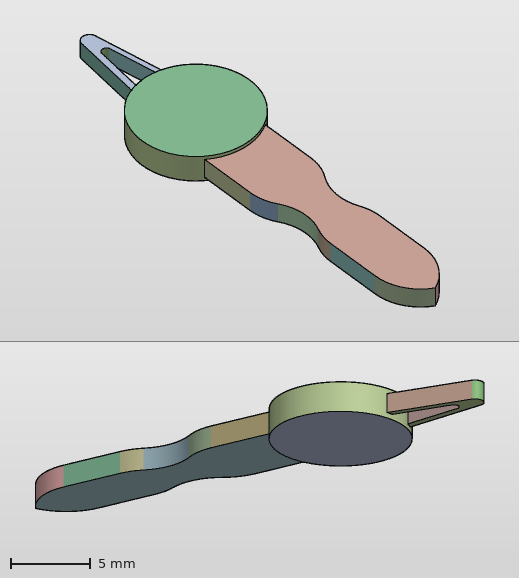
import cadquery as cq
import math

disc_diameter = 9.0
disc_radius = disc_diameter / 2
disc_thickness = 2.0

handle_thickness = 1.5
root_half_width = 2.55
waist_half_width = 1.4
grip_half_width = 2.05
root_end_x = 8.0
bend_radius = 3.75
grip_taper_x = 19.27
handle_end_x = 22.65

pointer_thickness = 1.3
nose_x = -10.4
nose_y = -0.2
nose_length = 0.4
nose_half_width = 0.55
upper_slope = 0.17
lower_slope = 0.122
window_nose_x = -8.65
window_nose_y = -0.115
window_nose_length = 0.23
window_nose_half_width = 0.33


def make_plate(outline, thickness):
    """Extrude an XY outline into a plate centred about Z = 0."""
    return outline.extrude(thickness).translate((0, 0, -thickness / 2))


def make_disc():
    return make_plate(cq.Workplane("XY").circle(disc_radius), disc_thickness)


def bend_run(drop):
    """Length along X of two equal, opposite, tangent arcs that shift the edge by drop."""
    return math.sqrt(drop * (4 * bend_radius - drop))


def make_handle(disc):
    """Symmetric handle whose root fits against the side of the disc."""
    root_drop = root_half_width - waist_half_width
    grip_rise = grip_half_width - waist_half_width
    waist_x = root_end_x + bend_run(root_drop)
    grip_start_x = waist_x + bend_run(grip_rise)
    root_bend_x = (root_end_x + waist_x) / 2
    root_bend_y = (root_half_width + waist_half_width) / 2
    grip_bend_x = (waist_x + grip_start_x) / 2
    grip_bend_y = (waist_half_width + grip_half_width) / 2

    upper_half = (
        cq.Workplane("XY")
        .lineTo(0, root_half_width)
        .lineTo(root_end_x, root_half_width)
        .tangentArcPoint((root_bend_x, root_bend_y), relative=False)
        .tangentArcPoint((grip_bend_x, grip_bend_y), relative=False)
        .tangentArcPoint((grip_start_x, grip_half_width), relative=False)
        .lineTo(grip_taper_x, grip_half_width)
        .tangentArcPoint((handle_end_x, 0), relative=False)
        .close()
    )
    half_plate = make_plate(upper_half, handle_thickness)
    plate = half_plate.union(half_plate.mirror("XZ"))
    return plate.cut(disc)


def make_wedge(tip_x, tip_y, tip_length, half_width):
    """Wedge with a rounded tip, widening along both side slopes up to X = 0."""
    side_x = tip_x + tip_length
    upper_y = tip_y + half_width
    lower_y = tip_y - half_width
    outline = (
        cq.Workplane("XY")
        .moveTo(side_x, upper_y)
        .threePointArc((tip_x, tip_y), (side_x, lower_y))
        .lineTo(0, lower_y + lower_slope * side_x)
        .lineTo(0, upper_y - upper_slope * side_x)
        .close()
    )
    return make_plate(outline, pointer_thickness)


def make_pointer(disc):
    """Open loop whose two arms fit against the side of the disc."""
    body = make_wedge(nose_x, nose_y, nose_length, nose_half_width)
    window = make_wedge(window_nose_x, window_nose_y, window_nose_length, window_nose_half_width)
    return body.cut(window).cut(disc)


disc = make_disc()
handle = make_handle(disc)
pointer = make_pointer(disc)

result = cq.Compound.makeCompound([disc.val(), *handle.solids().vals(), *pointer.solids().vals()])